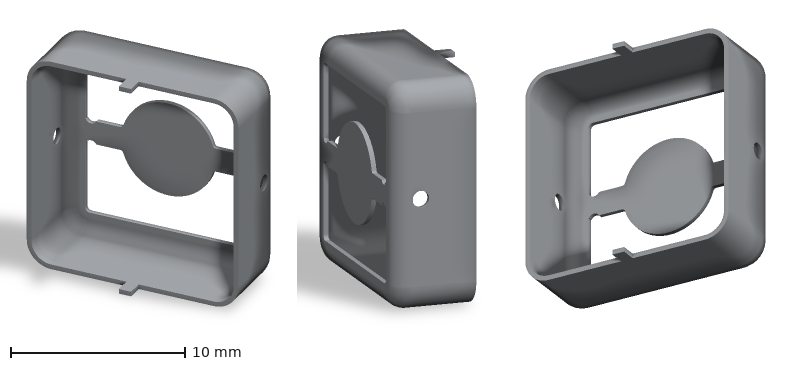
import cadquery as cq

side = 13.5
depth = 5.0
wall = 0.3
corner_radius = 1.57
back_edge_radius = 1.0
inner_edge_radius = back_edge_radius - wall

window_side = 10.57
window_corner_radius = 0.3
disc_diameter = 6.0
bar_width = 1.5
disc_blend_radius = 0.2

notch_radius = 0.38
notch_gap = 1.11

tab_width = 0.78
tab_length = 1.0

side_hole_diameter = 1.0
side_hole_from_back = 1.6


def rounded_block(size, corner, back_radius, y_back):
    """Square block from the open rim (Y = 0) to y_back, rounded around its back face."""
    block = cq.Workplane("XZ").rect(size, size).extrude(-y_back)
    return block.edges("|Y").fillet(corner).faces(">Y").edges().fillet(back_radius)


def make_shell():
    outer = rounded_block(side, corner_radius, back_edge_radius, depth)
    inner = rounded_block(side - 2 * wall, corner_radius - wall, inner_edge_radius, depth - wall)
    return outer.cut(inner)


def plate_profile():
    """Workplane on the inner face of the plate; negative extrusion goes towards +Y."""
    return cq.Workplane("XZ", origin=(0, depth - wall, 0))


def make_window_cut():
    window = plate_profile().rect(window_side, window_side).extrude(-wall)
    window = window.edges("|Y").fillet(window_corner_radius)

    disc = plate_profile().circle(disc_diameter / 2).extrude(-wall)
    bar = plate_profile().rect(side, bar_width).extrude(-wall)
    spider = disc.union(bar)
    half_disc = disc_diameter / 2
    blend_zone = cq.selectors.BoxSelector((-half_disc, 0, -bar_width), (half_disc, depth, bar_width))
    spider = spider.edges(blend_zone).fillet(disc_blend_radius)

    notch_x = window_side / 2 - notch_radius
    notch_z = notch_gap / 2 + notch_radius
    notch_centers = [(sx * notch_x, sz * notch_z) for sx in (-1, 1) for sz in (-1, 1)]
    notches = plate_profile().pushPoints(notch_centers).circle(notch_radius).extrude(-wall)
    return window.cut(spider).union(notches)


def make_tab(direction):
    """Tab continuing the wall at the +Z or -Z side beyond the rim."""
    center_z = direction * (side - wall) / 2
    return (
        cq.Workplane("XY")
        .box(tab_width, tab_length + wall, wall)
        .translate((0, (wall - tab_length) / 2, center_z))
    )


def make_side_holes():
    return (
        cq.Workplane("YZ")
        .center(depth - side_hole_from_back, 0)
        .circle(side_hole_diameter / 2)
        .extrude(side, both=True)
    )


result = make_shell().cut(make_window_cut()).cut(make_side_holes())
for tab_direction in (-1, 1):
    result = result.union(make_tab(tab_direction))